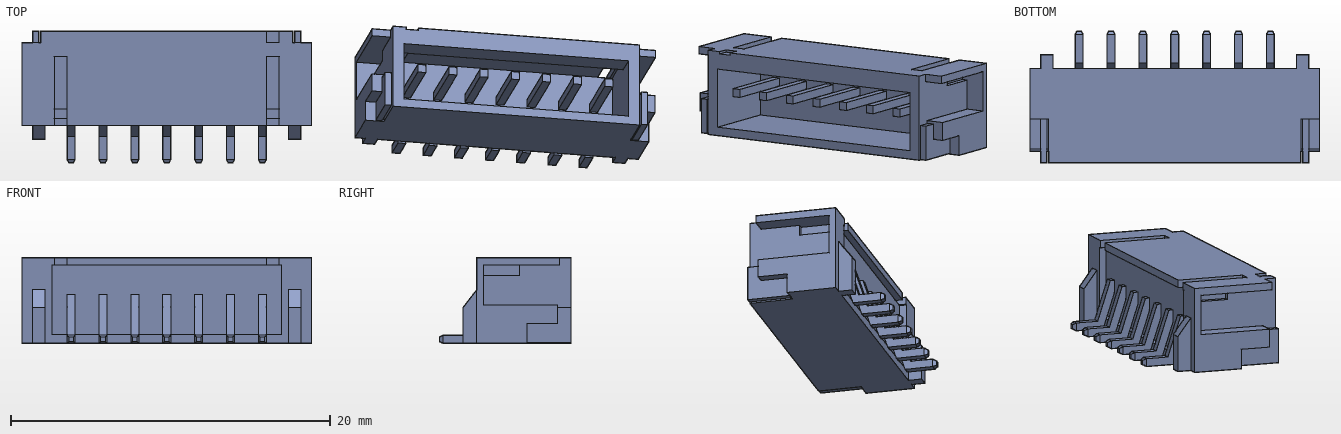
import cadquery as cq


body_length = 18.15
body_height = 5.37
body_depth = 5.92
plate_thickness = 0.47
plate_bottom = body_height - plate_thickness

core_half_length = 7.9
wing_depth = 5.19
end_wall_thickness = 0.44
ear_height = 2.4
ear_depth = 5.05
ear_step_height = 1.25
ear_step_depth = 3.15

end_pocket_depth = 0.36
end_pocket_far_y = 2.69
end_pocket_bottom = 4.25

recess_half_length = 7.19
recess_depth = 0.44
floor_height = 0.55
cavity_start_y = 1.03
mouth_start_y = 4.32
mouth_ceiling = 4.25

slot_inner_x = 6.26
slot_width = 0.78
notch_depth = 0.15

lead_count = 7
lead_pitch = 2.0
lead_size = 0.5
lead_top = 3.05
lead_inner_end_y = 5.6
lead_bend_top_y = 0.16
lead_bend_foot_y = -0.69
lead_tip_y = -2.35
lead_tip_length = 0.22
lead_tip_inset = 0.1

tab_outer_x = 8.4
tab_width = 0.78
tab_reach = 0.87
tab_height = 3.35
tab_shoulder_height = 2.23
tab_tail_thickness = 0.4
tab_tail_clearance = 0.05


def box(x_range, y_range, z_range):
    """Axis-aligned block between the given pairs of limits."""
    lower = (x_range[0], y_range[0], z_range[0])
    size = (x_range[1] - x_range[0], y_range[1] - y_range[0], z_range[1] - z_range[0])
    return cq.Workplane("XY").box(*size, centered=False).translate(lower)


def side_profile(points, x_start, width):
    """Prism along X whose outline is given as (y, z) points."""
    return cq.Workplane("YZ").polyline(points).close().extrude(width).translate((x_start, 0, 0))


def both_ends(shape):
    """The shape on the +X end together with its mirror image on the -X end."""
    return shape.union(shape.mirror("YZ"))


def make_end_block():
    """Stepped +X end: top wing, lead-side wall and lower ear, as one C-shaped profile."""
    outline = [
        (0, 0),
        (ear_step_depth, 0),
        (ear_step_depth, ear_step_height),
        (ear_depth, ear_step_height),
        (ear_depth, ear_height),
        (end_wall_thickness, ear_height),
        (end_wall_thickness, plate_bottom),
        (wing_depth, plate_bottom),
        (wing_depth, body_height),
        (0, body_height),
    ]
    return side_profile(outline, core_half_length, body_length / 2 - core_half_length)


def make_housing():
    core_x = (-core_half_length, core_half_length)
    cavity_x = (-recess_half_length, recess_half_length)
    slot_x = (slot_inner_x, slot_inner_x + slot_width)

    housing = box(core_x, (0, body_depth), (0, body_height)).union(both_ends(make_end_block()))

    housing = housing.cut(box(cavity_x, (0, recess_depth), (floor_height, plate_bottom)))
    housing = housing.cut(box(cavity_x, (cavity_start_y, mouth_start_y), (floor_height, plate_bottom)))
    housing = housing.cut(box(cavity_x, (mouth_start_y, body_depth), (floor_height, mouth_ceiling)))

    slot = box(slot_x, (0, mouth_start_y), (plate_bottom, body_height))
    housing = housing.cut(both_ends(slot))

    notch_z = (body_height - notch_depth, body_height)
    housing = housing.cut(box(slot_x, (wing_depth, body_depth), notch_z))

    end_pocket = box(
        (core_half_length - end_pocket_depth, core_half_length),
        (end_wall_thickness, end_pocket_far_y),
        (end_pocket_bottom, plate_bottom),
    )
    return housing.cut(both_ends(end_pocket))


def make_lead():
    """Straight pin, sloping leg and flat foot of constant thickness, centred on x = 0."""
    slope_run = lead_bend_top_y - lead_bend_foot_y
    slope_rise = lead_top - lead_size
    slope_length = (slope_run**2 + slope_rise**2) ** 0.5
    bend_shift = lead_size * (slope_length - slope_run) / slope_rise
    taper_start_y = lead_tip_y + lead_tip_length

    outline = [
        (lead_inner_end_y, lead_top),
        (lead_bend_top_y, lead_top),
        (lead_bend_foot_y, lead_size),
        (taper_start_y, lead_size),
        (taper_start_y, 0),
        (lead_bend_foot_y + bend_shift, 0),
        (lead_bend_top_y + bend_shift, lead_top - lead_size),
        (lead_inner_end_y, lead_top - lead_size),
    ]
    lead = side_profile(outline, -lead_size / 2, lead_size)

    tip_size = lead_size - 2 * lead_tip_inset
    tip = (
        cq.Workplane("XZ", origin=(0, taper_start_y, lead_size / 2))
        .rect(lead_size, lead_size)
        .workplane(offset=lead_tip_length)
        .rect(tip_size, tip_size)
        .loft(ruled=True)
    )
    return lead.union(tip)


def make_tab_front():
    """Sloped lead-side part of the solder tab on the +X end."""
    outline = [
        (0, 0),
        (0, tab_height),
        (-tab_reach, tab_shoulder_height),
        (-tab_reach, 0),
    ]
    return side_profile(outline, tab_outer_x - tab_width, tab_width)


def make_tab_tail():
    """Thin upright mouth-side part of the solder tab on the +X end."""
    return box(
        (tab_outer_x - tab_tail_thickness, tab_outer_x),
        (ear_step_depth, body_depth),
        (tab_tail_clearance, tab_shoulder_height),
    )


result = make_housing()
result = result.union(both_ends(make_tab_front()))
result = result.union(both_ends(make_tab_tail()))

lead_shape = make_lead()
for index in range(lead_count):
    lead_x = (index - (lead_count - 1) / 2) * lead_pitch
    result = result.union(lead_shape.translate((lead_x, 0, 0)))